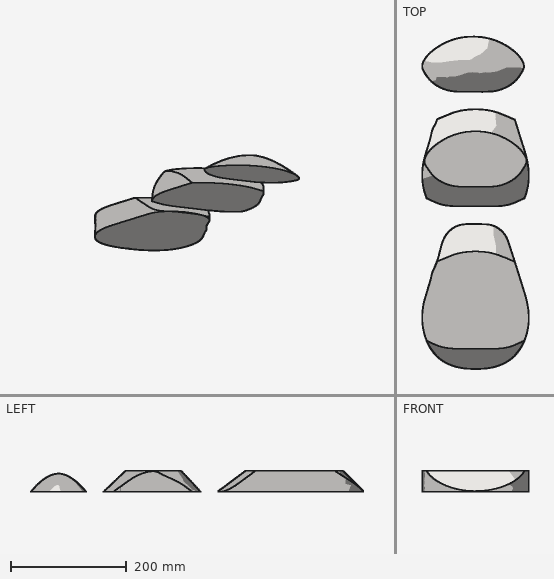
import cadquery as cq

layer_height = 36.77
cap_height = 32.0
gap = 29.7
total_length = 575.34

egg_seam = (71.8, 174)

egg_outline = [
    (0, 0),
    (35.4, 4.3),
    (66.5, 21.7),
    (87.3, 56.3),
    (92.42, 86),
    (89, 117),
    (78.7, 151.6),
    egg_seam,
    (59.6, 212.3),
    (52.7, 229.6),
    (44, 240),
    (33.6, 247),
    (0, 251.2),
]
foot_curve = [
    (0, -1.5),
    (47, -0.8),
    (80, 6),
    (110, 22),
    (160, 110),
    (125, 200),
    (61, 233),
    (26, 250),
    (0, 253),
]
waist_curve = [
    (0, 34.9),
    (38, 35.4),
    (59, 38.5),
    (85, 49.5),
    (105, 60),
    (127, 115),
    (104, 168),
    (70, 184.7),
    (31, 200),
    (0, 203.6),
]
shoulder_curve = [
    (0, 69.3),
    (26, 69.4),
    (43, 71.8),
    (72.8, 88),
    (84.3, 103),
    (88.2, 113.5),
    (85.2, 123.5),
    (72.8, 138.5),
    (52, 152.7),
    (36.4, 159.5),
    (0, 165.3),
]

cap_steps = 5
cap_power = 1.85


def closed_wire(half_outline, z, seam):
    """Smooth closed curve at height z through a half outline and its mirror image.

    The curve starts and ends at the mirror image of the point `seam`.
    """
    start = half_outline.index(seam)
    left = [cq.Vector(-x, y, z) for x, y in half_outline]
    right = [cq.Vector(x, y, z) for x, y in reversed(half_outline[1:-1])]
    curve = cq.Edge.makeSpline(left[start:] + right + left[:start], periodic=True)
    return cq.Wire.assembleEdges([curve])


def egg_layer(lower_curve, upper_curve):
    """One layer: the upright egg trimmed by the dome's sloping front and rear.

    Each curve starts at its widest point, so the slope's seam lies outside or at the edge of the egg.
    """
    egg_wire = closed_wire(egg_outline, 0, egg_seam)
    egg = cq.Solid.extrudeLinear(egg_wire, [], cq.Vector(0, 0, layer_height))
    lower_wire = closed_wire(lower_curve, 0, max(lower_curve))
    upper_wire = closed_wire(upper_curve, layer_height, max(upper_curve))
    slope = cq.Solid.makeLoft([lower_wire, upper_wire], ruled=True)
    return cq.Workplane(egg.intersect(slope))


def domed_cap():
    """The rounded top of the dome, standing on the shoulder curve."""
    centre_y = (shoulder_curve[0][1] + shoulder_curve[-1][1]) / 2
    wires = []
    for step in range(cap_steps):
        ratio = 1 - step / cap_steps
        outline = [(x * ratio, centre_y + (y - centre_y) * ratio) for x, y in shoulder_curve]
        front_point = outline[0]
        wires.append(closed_wire(outline, cap_height * (1 - ratio**cap_power), front_point))
    peak = cq.Vertex.makeVertex(0, centre_y, cap_height)
    return cq.Workplane(cq.occ_impl.shapes.loft(wires + [peak], cap=True))


base_front = -total_length / 2
base_rear = base_front + egg_outline[-1][1]
middle_front = base_rear + gap
middle_rear = middle_front + waist_curve[-1][1] - waist_curve[0][1]
cap_front = middle_rear + gap

cap_shift_x = max(x for x, y in shoulder_curve) - max(x for x, y in egg_outline)

base = egg_layer(foot_curve, waist_curve).translate((0, base_front, 0))
middle = egg_layer(waist_curve, shoulder_curve).translate((0, middle_front - waist_curve[0][1], 0))
cap = domed_cap().translate((cap_shift_x, cap_front - shoulder_curve[0][1], 0))

result = cq.Compound.makeCompound([base.val(), middle.val(), cap.val()])